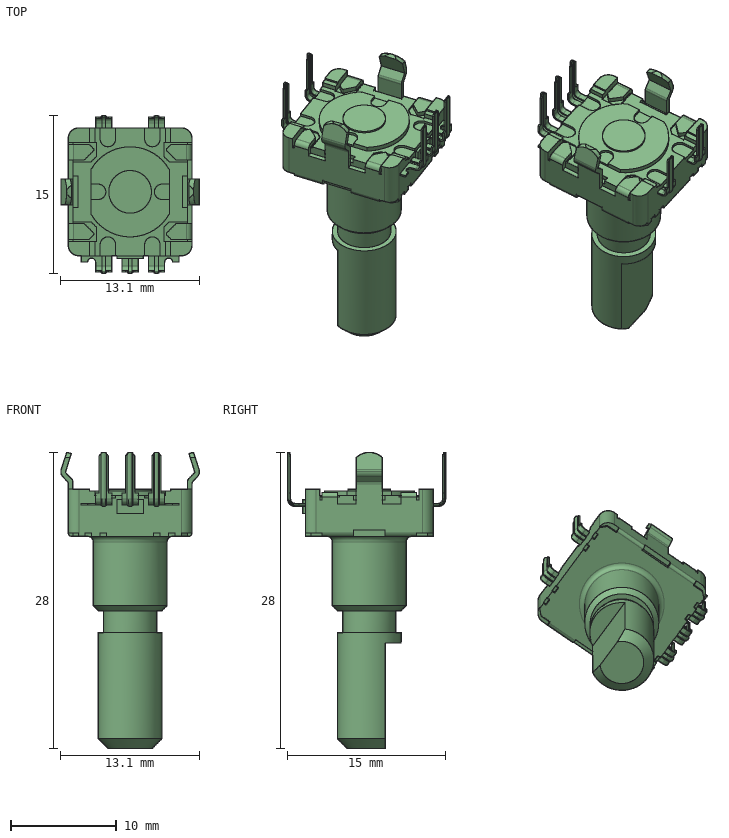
import cadquery as cq


TOTAL_LENGTH = 28.0

HOUSING_X = 11.7
HOUSING_Y = 12.1
CORNER_RADIUS = 1.0
CORNER_TOP = 4.48
PLATE_TOP = 3.85
CORNER_INNER_X = 3.85
CORNER_INNER_Y = 4.68
STEP_INNER_X = 3.33
STEP_TOP = 4.3
HALF_X = HOUSING_X / 2
HALF_Y = HOUSING_Y / 2

BASE_HEIGHT = 0.35
BASE_CORNER_CHAMFER = 0.53
BASE_NOTCH_WIDTH = 0.62
BASE_NOTCH_DEPTH = 0.28
BASE_NOTCH_CENTERS = (2.52, 3.95)
SIDE_NOTCH_WIDTH = 2.97
SIDE_NOTCH_HEIGHT = 0.6

DISC_RADIUS = 4.25
DISC_HALF_X = 3.7
DISC_TOP = 4.3
HUB_RADIUS = 2.02
HUB_TOP = 4.48
POCKET_WIDTH = 1.45
POCKET_DEPTH = 0.25
DISC_POCKET_END = 2.3
PLATE_POCKET_END = 4.25
PLATE_POCKET_X = 2.1

SHEET = 0.45
WALL_X = HALF_X - SHEET
TAB_OUTER_Y = 4.48
TAB_INNER_Y = 3.0
TAB_END_X = 3.35
TAB_SHORT_X = 4.35
TAB_TOP = 4.17
TAB_BEND_RADIUS = 0.5
TAB_NOSE_LENGTH = 0.5
TAB_NOSE_RADIUS = 0.15
TAB_RECESS_MARGIN = 0.17
TAB_RECESS_CHAMFER = 0.5
TAB_RECESS_FLOOR = TAB_TOP - SHEET
GAP_FLOOR = 3.45
COVER_NOTCH_FLOOR = 3.05
LEG_WIDTH = 2.45
LEG_SLOT_LENGTH = 2.97
LEG_SLOT_INNER_X = 4.93
LEG_MAX_X = 6.55
LEG_SHOULDER_Z = 5.1
LEG_ELBOW_Z = 6.05
LEG_ELBOW_HEIGHT = 0.4
LEG_TIP_X = 6.0
LEG_TIP_DROP = 0.1
LEG_TIP_SIDE_Z = 7.45
LEG_BEND_RADIUS = 0.35
LEG_ELBOW_RADIUS = 0.67

TERMINAL_PITCH = 2.5
TERMINAL_TOP = 7.95
BLADE_TOP = 7.75
BLADE_CHAMFER = 0.15
SHOULDER_TOP = 4.12
SHOULDER_WIDTH = 1.55
BLADE_WIDTH = 0.9
TERMINAL_SHEET = 0.17
TERMINAL_BOTTOM = 2.97
TERMINAL_BEND = 0.55
RIB_WIDTH = 0.55
RIB_HEIGHT = 0.15
RIB_ROOT = 0.08
RIB_CHAMFER = 0.1
GROOVE_WIDTH = 0.35
FRONT_REACH = 7.73
BACK_REACH = 7.22
EMBED_DEPTH = 0.28
TERMINAL_ROOT_Y = HALF_Y - EMBED_DEPTH

STRIP_OUTER_X = 4.62
STRIP_INNER_X = TERMINAL_PITCH + SHOULDER_WIDTH / 2
STRIP_REACH = 6.65
STRIP_NOTCH_X = 3.65
STRIP_NOTCH_RADIUS = 0.35
BOSS_WIDTH = 2.5
BOSS_BOTTOM = 2.15
BOSS_TOP = 3.47
BOSS_DEPTH = 0.25

BUSHING_RADIUS = 3.5
BUSHING_LENGTH = 7.03
BUSHING_CHAMFER = 0.5
BUSHING_ROOT_FILLET = 0.5
NECK_RADIUS = 2.52
SHAFT_RADIUS = 3.02
SHAFT_START = 9.07
SHAFT_END = TOTAL_LENGTH - TERMINAL_TOP
SHAFT_CHAMFER = 0.95
FLAT_Y = 1.5
COLLAR_HEIGHT = 1.0
FLAT_START = SHAFT_START + COLLAR_HEIGHT

SIGNS = (1, -1)


def box(x0, x1, y0, y1, z0, z1):
    """Axis-aligned box between two corners, given in any order."""
    return (
        cq.Workplane("XY")
        .box(abs(x1 - x0), abs(y1 - y0), abs(z1 - z0))
        .translate(((x0 + x1) / 2, (y0 + y1) / 2, (z0 + z1) / 2))
    )


def prism(points, z0, z1):
    """Vertical prism over a polygon."""
    return cq.Workplane("XY").workplane(offset=z0).polyline(points).close().extrude(z1 - z0)


def four_corners(points):
    """Polygon in the +X +Y quarter, followed by its three mirror images."""
    return [[(sx * x, sy * y) for x, y in points] for sx in SIGNS for sy in SIGNS]


def housing_block():
    """Rounded block whose four corners stand above the central plate, with a step beside each."""
    block = cq.Workplane("XY").rect(HOUSING_X, HOUSING_Y).extrude(CORNER_TOP)
    block = block.edges("|Z").fillet(CORNER_RADIUS)
    block = block.cut(box(-HALF_X, HALF_X, -CORNER_INNER_Y, CORNER_INNER_Y, PLATE_TOP, CORNER_TOP))
    block = block.cut(box(-CORNER_INNER_X, CORNER_INNER_X, -HALF_Y, HALF_Y, STEP_TOP, CORNER_TOP))
    return block.cut(box(-STEP_INNER_X, STEP_INNER_X, -HALF_Y, HALF_Y, PLATE_TOP, CORNER_TOP))


def shape_underside(body):
    """Stepped base corners, rounded side edges and the notches around the base."""
    corner = [
        (WALL_X - BASE_CORNER_CHAMFER, HALF_Y),
        (WALL_X, HALF_Y - BASE_CORNER_CHAMFER),
        (WALL_X, TAB_OUTER_Y),
        (HALF_X, TAB_OUTER_Y),
        (HALF_X, HALF_Y),
    ]
    for points in four_corners(corner):
        body = body.cut(prism(points, 0, BASE_HEIGHT))
    for side in SIGNS:
        edge = box(side * HALF_X, side * (HALF_X - BASE_HEIGHT), -HALF_Y, HALF_Y, 0, BASE_HEIGHT)
        roll = (
            cq.Workplane("XZ")
            .center(side * (HALF_X - BASE_HEIGHT), BASE_HEIGHT)
            .circle(BASE_HEIGHT)
            .extrude(HALF_Y, both=True)
        )
        body = body.cut(edge.cut(roll))
        half = SIDE_NOTCH_WIDTH / 2
        body = body.cut(box(side * WALL_X, side * HALF_X, -half, half, 0, SIDE_NOTCH_HEIGHT))
        for center in BASE_NOTCH_CENTERS:
            x0 = side * center - BASE_NOTCH_WIDTH / 2
            for end in SIGNS:
                y0 = end * (HALF_Y - BASE_NOTCH_DEPTH)
                body = body.cut(box(x0, x0 + BASE_NOTCH_WIDTH, y0, end * HALF_Y, 0, BASE_HEIGHT))
    return body


def round_pocket(start, end, top):
    """Pocket along +X from its round end to an open end, centred on the X axis."""
    radius = POCKET_WIDTH / 2
    floor = top - POCKET_DEPTH
    nose = cq.Workplane("XY").workplane(offset=floor).center(start + radius, 0)
    nose = nose.circle(radius).extrude(POCKET_DEPTH)
    return nose.union(box(start + radius, end, -radius, radius, floor, top))


def disc():
    """Disc with two flat sides, a round pocket at each flat and a raised hub."""
    plate = cq.Workplane("XY").workplane(offset=PLATE_TOP).circle(DISC_RADIUS).extrude(DISC_TOP - PLATE_TOP)
    plate = plate.intersect(box(-DISC_HALF_X, DISC_HALF_X, -DISC_RADIUS, DISC_RADIUS, PLATE_TOP, DISC_TOP))
    pocket = round_pocket(DISC_POCKET_END, DISC_HALF_X, DISC_TOP)
    plate = plate.cut(pocket).cut(pocket.mirror("YZ"))
    hub = cq.Workplane("XY").workplane(offset=PLATE_TOP).circle(HUB_RADIUS).extrude(HUB_TOP - PLATE_TOP)
    return plate.union(hub)


def cut_plate_pockets(body):
    """Four round-ended pockets opening on the front and back faces."""
    for end in SIGNS:
        pocket = round_pocket(PLATE_POCKET_END, HALF_Y, PLATE_TOP)
        pocket = pocket.rotate((0, 0, 0), (0, 0, 1), end * 90)
        for side in SIGNS:
            body = body.cut(pocket.translate((side * PLATE_POCKET_X, 0, 0)))
    return body


def cut_cover_recesses(body):
    """Clearance around the folded tabs, the side-wall notches and the slots behind the legs."""
    margin = TAB_RECESS_MARGIN
    inner_y = TAB_INNER_Y - margin
    end_x = TAB_END_X - margin
    recess = [
        (HALF_X, inner_y),
        (end_x + TAB_RECESS_CHAMFER, inner_y),
        (end_x, inner_y + TAB_RECESS_CHAMFER),
        (end_x, CORNER_INNER_Y),
        (HALF_X, CORNER_INNER_Y),
    ]
    for points in four_corners(recess):
        body = body.cut(prism(points, TAB_RECESS_FLOOR, CORNER_TOP))
    slot_half = LEG_SLOT_LENGTH / 2
    for side in SIGNS:
        outer = side * HALF_X
        wall = side * WALL_X
        body = body.cut(box(side * LEG_SLOT_INNER_X, wall, -slot_half, slot_half, GAP_FLOOR, PLATE_TOP))
        body = body.cut(box(wall, outer, -TAB_INNER_Y, TAB_INNER_Y, COVER_NOTCH_FLOOR, PLATE_TOP))
        for end in SIGNS:
            body = body.cut(box(wall, outer, end * TAB_OUTER_Y, end * CORNER_INNER_Y, GAP_FLOOR, PLATE_TOP))
    return body


def corner_tabs():
    """Four tabs folded inward from the side walls, each with a slanted end and a round nose."""
    outline = [
        (HALF_X, TAB_INNER_Y),
        (TAB_SHORT_X, TAB_INNER_Y),
        (TAB_END_X, TAB_OUTER_Y - TAB_NOSE_LENGTH),
        (TAB_END_X + TAB_NOSE_LENGTH, TAB_OUTER_Y),
        (HALF_X, TAB_OUTER_Y),
    ]
    tabs = cq.Workplane("XY")
    for points in four_corners(outline):
        outer, nose = (">X", "<X") if points[0][0] > 0 else ("<X", ">X")
        tab = prism(points, GAP_FLOOR, TAB_TOP)
        tab = tab.edges(f"|Z and {nose}").fillet(TAB_NOSE_RADIUS)
        tabs = tabs.union(tab.edges(f"{outer} and >Z").fillet(TAB_BEND_RADIUS))
    return tabs


def snap_leg():
    """Leg on the +X side: rises from the wall, kinks outward, then leans back in to a round tip."""
    half = LEG_WIDTH / 2
    elbow_in = LEG_MAX_X - SHEET
    profile = [
        (HALF_X, COVER_NOTCH_FLOOR),
        (HALF_X, LEG_SHOULDER_Z),
        (LEG_MAX_X, LEG_ELBOW_Z - LEG_ELBOW_HEIGHT / 2),
        (LEG_MAX_X, LEG_ELBOW_Z + LEG_ELBOW_HEIGHT / 2),
        (LEG_TIP_X, TERMINAL_TOP),
        (LEG_TIP_X - SHEET, TERMINAL_TOP - LEG_TIP_DROP),
        (elbow_in, LEG_ELBOW_Z),
        (WALL_X, LEG_SHOULDER_Z + SHEET / 2),
        (WALL_X, COVER_NOTCH_FLOOR),
    ]
    leg = cq.Workplane("XZ").polyline(profile).close().extrude(half, both=True)
    leg = leg.edges("|Y and >X").fillet(LEG_ELBOW_RADIUS)
    shoulder = cq.selectors.BoxSelector(
        (WALL_X - SHEET / 2, -half, LEG_SHOULDER_Z - SHEET / 2),
        (HALF_X + SHEET / 2, half, LEG_SHOULDER_Z + SHEET),
    )
    leg = leg.edges("|Y").edges(shoulder).fillet(LEG_BEND_RADIUS)
    tip = (
        cq.Workplane("YZ")
        .moveTo(-half, COVER_NOTCH_FLOOR)
        .lineTo(-half, LEG_TIP_SIDE_Z)
        .threePointArc((0, TERMINAL_TOP), (half, LEG_TIP_SIDE_Z))
        .lineTo(half, COVER_NOTCH_FLOOR)
        .close()
        .extrude(LEG_MAX_X)
    )
    return leg.intersect(tip)


def bent_strip(reach, bottom, top, thickness, bend, width):
    """L-shaped strip leaving the housing along +Y and turning up, centred on X = 0."""
    return (
        cq.Workplane("YZ")
        .moveTo(TERMINAL_ROOT_Y, bottom)
        .lineTo(reach - bend, bottom)
        .radiusArc((reach, bottom + bend), -bend)
        .lineTo(reach, top)
        .lineTo(reach - thickness, top)
        .lineTo(reach - thickness, bottom + bend)
        .radiusArc((reach - bend, bottom + thickness), bend - thickness)
        .lineTo(TERMINAL_ROOT_Y, bottom + thickness)
        .close()
        .extrude(width / 2, both=True)
    )


def rib_section(plane):
    """Cross-section of a rib on the given plane, its rounded back facing the plane's -Y direction."""
    half = RIB_WIDTH / 2
    return (
        cq.Workplane(plane)
        .moveTo(-half, RIB_ROOT)
        .lineTo(-half, 0)
        .threePointArc((0, -RIB_HEIGHT), (half, 0))
        .lineTo(half, RIB_ROOT)
        .close()
    )


def terminal_rib(sheet_y):
    """Round-backed rib: a run out of the housing, a quarter bend and an upright post."""
    bend_y = sheet_y - TERMINAL_BEND
    bend_z = TERMINAL_BOTTOM + TERMINAL_BEND
    run_end = cq.Plane((0, bend_y, TERMINAL_BOTTOM), xDir=(1, 0, 0), normal=(0, -1, 0))
    post_foot = cq.Plane((0, sheet_y, bend_z), xDir=(-1, 0, 0), normal=(0, 0, 1))
    run = rib_section(run_end).extrude(bend_y - TERMINAL_ROOT_Y)
    bend = rib_section(run_end).revolve(90, (0, TERMINAL_BEND), (1, TERMINAL_BEND))
    post = rib_section(post_foot).extrude(TERMINAL_TOP - bend_z)
    post = post.edges("|Y and >Z").chamfer(RIB_CHAMFER)
    return run.union(bend).union(post)


def terminal(reach):
    """Terminal on the +Y side: wide shoulder, narrow blade, rib outside and groove inside."""
    blade_y = reach - RIB_HEIGHT
    bottom = TERMINAL_BOTTOM
    shoulder = bent_strip(blade_y, bottom, SHOULDER_TOP, TERMINAL_SHEET, TERMINAL_BEND, SHOULDER_WIDTH)
    blade = bent_strip(blade_y, bottom, BLADE_TOP, TERMINAL_SHEET, TERMINAL_BEND, BLADE_WIDTH)
    blade = blade.edges("|Y and >Z").chamfer(BLADE_CHAMFER)
    groove = bent_strip(
        blade_y - TERMINAL_SHEET + RIB_HEIGHT,
        bottom + TERMINAL_SHEET - RIB_HEIGHT,
        TERMINAL_TOP,
        RIB_HEIGHT,
        TERMINAL_BEND - TERMINAL_SHEET + RIB_HEIGHT,
        GROOVE_WIDTH,
    )
    return shoulder.union(blade).union(terminal_rib(blade_y)).cut(groove)


def terminals():
    """Three terminals on the front face and two on the back face."""
    front = terminal(FRONT_REACH).mirror("XZ")
    back = terminal(BACK_REACH)
    pins = front
    for side in SIGNS:
        shift = (side * TERMINAL_PITCH, 0, 0)
        pins = pins.union(front.translate(shift)).union(back.translate(shift))
    return pins


def front_strips():
    """Sheet strips beside the outer front terminals, each with a round notch in its free edge."""
    top = TERMINAL_BOTTOM + TERMINAL_SHEET
    strips = cq.Workplane("XY")
    for side in SIGNS:
        strip = box(
            side * STRIP_INNER_X, side * STRIP_OUTER_X, -STRIP_REACH, -TERMINAL_ROOT_Y, TERMINAL_BOTTOM, top
        )
        notch = (
            cq.Workplane("XY")
            .workplane(offset=TERMINAL_BOTTOM)
            .center(side * STRIP_NOTCH_X, -STRIP_REACH)
            .circle(STRIP_NOTCH_RADIUS)
            .extrude(TERMINAL_SHEET)
        )
        strips = strips.union(strip.cut(notch))
    return strips


def front_boss():
    """Low rectangular boss behind the middle front terminal."""
    half = BOSS_WIDTH / 2
    return box(-half, half, -HALF_Y - BOSS_DEPTH, -TERMINAL_ROOT_Y, BOSS_BOTTOM, BOSS_TOP)


def bushing_and_shaft():
    """Bushing, neck and shaft revolved about Z, with a flat along most of the shaft."""
    root = BUSHING_ROOT_FILLET
    turned = (
        cq.Workplane("XZ")
        .lineTo(BUSHING_RADIUS + root, 0)
        .radiusArc((BUSHING_RADIUS, -root), -root)
        .lineTo(BUSHING_RADIUS, -BUSHING_LENGTH + BUSHING_CHAMFER)
        .lineTo(BUSHING_RADIUS - BUSHING_CHAMFER, -BUSHING_LENGTH)
        .lineTo(NECK_RADIUS, -BUSHING_LENGTH)
        .lineTo(NECK_RADIUS, -SHAFT_START)
        .lineTo(SHAFT_RADIUS, -SHAFT_START)
        .lineTo(SHAFT_RADIUS, -SHAFT_END + SHAFT_CHAMFER)
        .lineTo(SHAFT_RADIUS - SHAFT_CHAMFER, -SHAFT_END)
        .lineTo(0, -SHAFT_END)
        .close()
        .revolve(360, (0, 0, 0), (0, 1, 0))
    )
    return turned.cut(box(-SHAFT_RADIUS, SHAFT_RADIUS, FLAT_Y, SHAFT_RADIUS, -FLAT_START, -SHAFT_END))


body = shape_underside(housing_block())
body = cut_plate_pockets(body)
body = cut_cover_recesses(body)
leg = snap_leg()

result = body.union(disc()).union(corner_tabs()).union(leg).union(leg.mirror("YZ"))
result = result.union(front_strips()).union(front_boss()).union(terminals()).union(bushing_and_shaft())